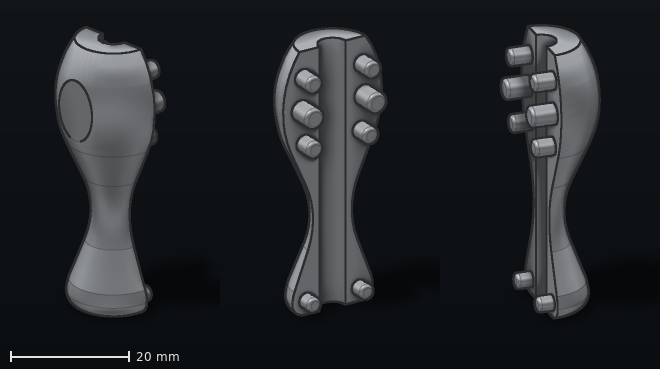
import cadquery as cq
import math

height = 48.65

belly_radius = 9.9
belly_z = 38.0
belly_arc = 18.95
neck_radius = 3.9
neck_z = 17.2
neck_arc = 15.55
foot_radius = 8.05
foot_z = 2.35
foot_arc = 6.32

front_flat = 9.05
bore_radius = 2.6

pins = [
    (3.2, 3.85, 5.9, 43.75),
    (3.8, 4.52, 6.3, 37.8),
    (3.2, 3.55, 5.6, 31.55),
    (2.8, 2.8, 5.25, 2.6),
]
pin_tip_fillet = 0.6
pin_root = 0.25


def crossing_tangent(bulge_center, bulge_arc, hollow_center, hollow_arc):
    """Touch points of the line between a bulge and a hollow on its outer side."""
    dx = hollow_center[0] - bulge_center[0]
    dz = hollow_center[1] - bulge_center[1]
    spread = math.acos((bulge_arc + hollow_arc) / math.hypot(dx, dz))
    angle = math.atan2(dz, dx) - math.copysign(spread, dz)
    nx = math.cos(angle)
    nz = math.sin(angle)
    on_bulge = (bulge_center[0] + bulge_arc * nx, bulge_center[1] + bulge_arc * nz)
    on_hollow = (hollow_center[0] - hollow_arc * nx, hollow_center[1] - hollow_arc * nz)
    return on_bulge, on_hollow


def make_body():
    belly_center = (belly_radius - belly_arc, belly_z)
    neck_center = (neck_radius + neck_arc, neck_z)
    foot_center = (foot_radius - foot_arc, foot_z)
    belly_end, neck_start = crossing_tangent(belly_center, belly_arc, neck_center, neck_arc)
    foot_start, neck_end = crossing_tangent(foot_center, foot_arc, neck_center, neck_arc)

    top_radius = belly_center[0] + math.sqrt(belly_arc**2 - (height - belly_z)**2)
    corner = foot_z
    corner_mid = (foot_radius - corner * (1 - math.sqrt(0.5)), corner * (1 - math.sqrt(0.5)))
    foot_half_angle = math.atan2(foot_start[1] - foot_z, foot_start[0] - foot_center[0]) / 2
    foot_mid = (
        foot_center[0] + foot_arc * math.cos(foot_half_angle),
        foot_z + foot_arc * math.sin(foot_half_angle),
    )

    profile = (
        cq.Workplane("XZ")
        .moveTo(0, height)
        .lineTo(top_radius, height)
        .threePointArc((belly_radius, belly_z), belly_end)
        .lineTo(*neck_start)
        .threePointArc((neck_radius, neck_z), neck_end)
        .lineTo(*foot_start)
        .threePointArc(foot_mid, (foot_radius, foot_z))
        .threePointArc(corner_mid, (foot_radius - corner, 0))
        .lineTo(0, 0)
        .close()
    )
    handle = profile.revolve(360, (0, 0, 0), (0, 1, 0))

    half_space = cq.Workplane("XY").box(
        4 * belly_radius, front_flat, height, centered=(True, False, False)
    ).translate((0, -front_flat, 0))
    bore = cq.Workplane("XY").circle(bore_radius).extrude(height)
    return handle.intersect(half_space).cut(bore)


def make_pin(diameter, length, x, z):
    return (
        cq.Workplane("XZ", origin=(x, -pin_root, z))
        .circle(diameter / 2)
        .extrude(-(length + pin_root))
        .faces(">Y")
        .edges()
        .fillet(pin_tip_fillet)
    )


result = make_body()
for diameter, length, offset, z in pins:
    for side in (-1, 1):
        result = result.union(make_pin(diameter, length, side * offset, z))